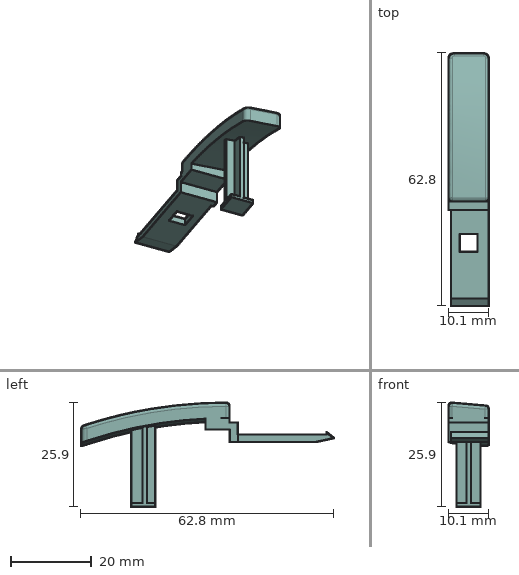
import cadquery as cq
import math

length = 62.8
width = 10.05
half_width = width / 2

pad_front = 25.95
pad_thickness = 3.95
roll_angle = 5.0
under_front_z = 22.0
under_middle = (47.1, 20.1)
under_back_z = 15.9
front_corner_radius = 0.95
back_corner_radius = 1.4
top_fillet = 0.95

block_back = 31.95
block_bottom = 19.15
riser_front = 23.85
riser_top = 21.0
tongue_bottom = 16.1

tongue_left = -4.4
tongue_top = 17.95
barb_y = 1.95
barb_top = 18.6
tip_z = 17.0
ramp_start = 4.35
window_size = 4.4
window_y = 15.7

post_size = 6.0
post_x = -0.05
post_y = 47.4
foot_height = 0.95
web_thickness = 1.1
web_x = 0.05
web_y = 47.0
post_top = 22.0


def box(x_range, y_range, z_range):
    """Box spanning the given (low, high) ranges."""
    sizes = [high - low for low, high in (x_range, y_range, z_range)]
    corner = (x_range[0], y_range[0], z_range[0])
    return cq.Workplane("XY").box(*sizes, centered=False).translate(corner)


def centred(middle, size):
    return (middle - size / 2, middle + size / 2)


def extrude_side(profile, x_low, x_high):
    """Extrude a closed YZ profile between two X positions."""
    return profile.extrude(x_high - x_low).translate((x_low, 0, 0))


def underside_circle():
    """Centre and radius of the arc through the three underside points."""
    y1, z1 = pad_front, under_front_z
    y2, z2 = under_middle
    y3, z3 = length, under_back_z
    a, b = y2 - y1, z2 - z1
    c, d = y3 - y1, z3 - z1
    p, q = (a * a + b * b) / 2, (c * c + d * d) / 2
    det = a * d - b * c
    dy, dz = (p * d - q * b) / det, (a * q - c * p) / det
    return y1 + dy, z1 + dz, math.hypot(dy, dz)


def rolled_cylinder(radius_offset):
    """Long cylinder concentric with the underside, rolled with the pad."""
    centre_y, centre_z, radius = underside_circle()
    cylinder = cq.Workplane("YZ").center(centre_y, centre_z).circle(radius + radius_offset)
    cylinder = extrude_side(cylinder, -width, width)
    axis_start = (-half_width, 0, under_front_z)
    axis_end = (-half_width, 1, under_front_z)
    return cylinder.rotate(axis_start, axis_end, roll_angle)


def make_pad():
    outline = box((-half_width, half_width), (pad_front, length), (0, 2 * under_front_z))
    outline = outline.edges("|Z and <Y").fillet(front_corner_radius)
    outline = outline.edges("|Z and >Y").fillet(back_corner_radius)
    pad = outline.intersect(rolled_cylinder(pad_thickness))
    pad = pad.faces(">Z").edges().fillet(top_fillet)
    return pad.cut(rolled_cylinder(0))


def make_bracket():
    profile = (
        cq.Workplane("YZ")
        .moveTo(block_back, block_bottom)
        .lineTo(pad_front, block_bottom)
        .lineTo(pad_front, tongue_bottom)
        .lineTo(riser_front, tongue_bottom)
        .lineTo(riser_front, riser_top)
        .lineTo(pad_front, riser_top)
        .lineTo(pad_front, under_front_z)
        .lineTo(block_back, under_front_z)
        .close()
    )
    return extrude_side(profile, -half_width, half_width)


def make_tongue():
    profile = (
        cq.Workplane("YZ")
        .moveTo(riser_front, tongue_bottom)
        .lineTo(ramp_start, tongue_bottom)
        .lineTo(0, tip_z)
        .lineTo(barb_y, barb_top)
        .lineTo(barb_y, tongue_top)
        .lineTo(riser_front, tongue_top)
        .close()
    )
    tongue = extrude_side(profile, tongue_left, half_width)
    window = box(centred(0, window_size), centred(window_y, window_size), (tongue_bottom, tongue_top))
    return tongue.cut(window)


def make_post():
    x_range = centred(post_x, post_size)
    y_range = centred(post_y, post_size)
    foot = box(x_range, y_range, (0, foot_height))
    web_across = box(x_range, centred(web_y, web_thickness), (0, post_top))
    web_along = box(centred(web_x, web_thickness), y_range, (0, post_top))
    return foot.union(web_across).union(web_along)


result = make_pad().union(make_bracket()).union(make_tongue()).union(make_post())